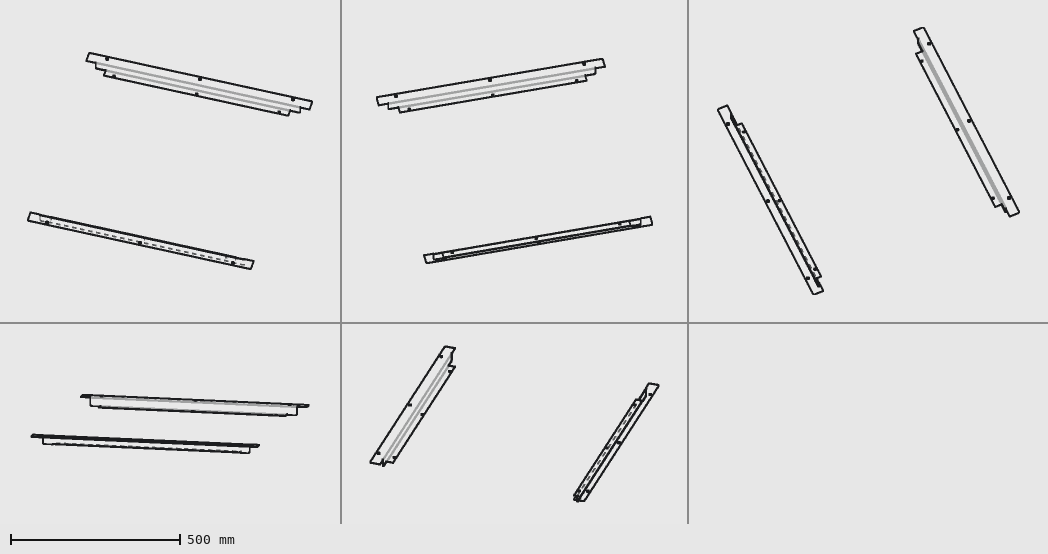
import cadquery as cq

length = 686.0
overall_width = 669.0
height = 27.5
thickness = 2.0
outer_face = overall_width / 2

top_flange_width = 32.0
web_length = 628.0
bottom_flange_length = 566.5
rail_width = 52.0
corner_radius = 5.5
bend_radius = 3.0

top_hole_diameter = 7.0
top_hole_spacing = 285.0
top_hole_edge_distance = 8.0
bottom_hole_diameter = 5.55
bottom_hole_spacing = 254.0
bottom_hole_edge_distance = 6.0

front_edge = -outer_face
web_back = front_edge + top_flange_width
web_front = web_back - thickness
rail_back = front_edge + rail_width


def plate(size_x, y_start, y_end, z_start, z_end):
    """Flat plate centred on X between the given Y and Z limits."""
    return cq.Workplane("XY").box(
        size_x, y_end - y_start, z_end - z_start, centered=(True, False, False)
    ).translate((0, y_start, z_start))


def hole_row(diameter, spacing, y):
    """Three vertical cutters, spaced evenly about the middle of the rail."""
    return (
        cq.Workplane("XY")
        .pushPoints([(step * spacing, y) for step in (-1, 0, 1)])
        .circle(diameter / 2)
        .extrude(height)
    )


def bend_block(size_x, center_y, center_z, side_y, side_z):
    """Square bar filling the corner outward of a bend centre; each side is +1 or -1."""
    y_limits = sorted((center_y, center_y + side_y * bend_radius))
    z_limits = sorted((center_z, center_z + side_z * bend_radius))
    return plate(size_x, *y_limits, *z_limits)


def bend_ring(size_x, center_y, center_z):
    """Tube along X, one sheet thickness thick, about a bend centre."""
    return (
        cq.Workplane("YZ", origin=(-size_x / 2, center_y, center_z))
        .circle(bend_radius)
        .circle(bend_radius - thickness)
        .extrude(size_x)
    )


def round_bend(rail, size_x, center_y, center_z, side_y, side_z):
    """Replace a sharp corner of the rail by a rounded quarter bend."""
    block = bend_block(size_x, center_y, center_z, side_y, side_z)
    quarter = bend_ring(size_x, center_y, center_z).intersect(block)
    return rail.cut(block).union(quarter)


def front_rail():
    """Z-section rail with its wide top flange toward -Y."""
    top_flange = plate(length, front_edge, web_back, height - thickness, height)
    top_flange = top_flange.edges("|Z and <Y").fillet(corner_radius)

    web = plate(web_length, web_front, web_back, 0, height)
    web = web.edges("|Y and <Z").fillet(corner_radius)

    bottom_flange = plate(bottom_flange_length, web_front, rail_back, 0, thickness)

    top_holes = hole_row(top_hole_diameter, top_hole_spacing, front_edge + top_hole_edge_distance)
    bottom_holes = hole_row(
        bottom_hole_diameter, bottom_hole_spacing, rail_back - bottom_hole_edge_distance
    )
    rail = top_flange.union(web).union(bottom_flange)

    rail = round_bend(rail, web_length, web_back - bend_radius, height - bend_radius, 1, 1)
    rail = round_bend(rail, bottom_flange_length, web_front + bend_radius, bend_radius, -1, -1)
    return rail.cut(top_holes).cut(bottom_holes)


rails = []
for angle in (0, 180):
    rail = front_rail().rotate((0, 0, 0), (0, 0, 1), angle)
    rails.append(rail.val())

result = cq.Compound.makeCompound(rails)